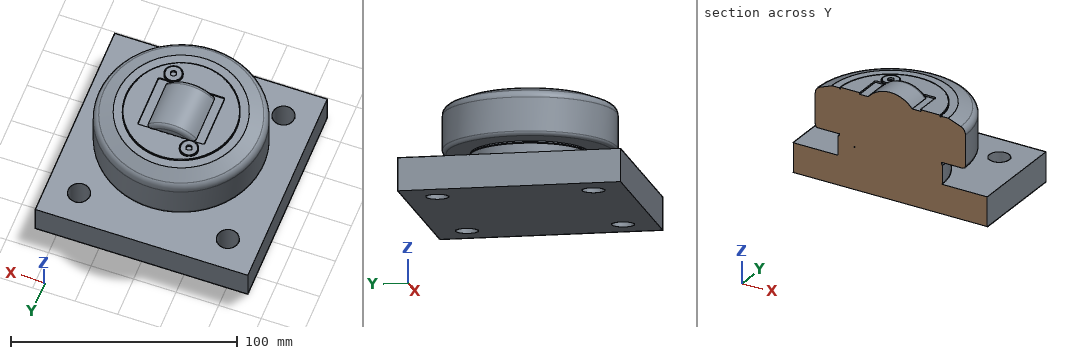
import cadquery as cq
import math

PLATE_SIDE = 100.0
PLATE_THICKNESS = 15.0
PLATE_HOLE_DIAMETER = 10.1
PLATE_HOLE_SPACING = 70.0

NECK_RADIUS = 27.0
NECK_TOP = 25.0
NECK_CHAMFER = 0.6
NECK_FOOT_CHAMFER = 0.3

ROLLER_RADIUS = 38.8
ROLLER_BOTTOM = 25.6
ROLLER_TOP = 48.7
ROLLER_LOWER_FILLET = 1.7
SHOULDER_START = 42.7
SHOULDER_FILLET = 3.8
CONE_ANGLE = math.radians(21.5)
FACE_RADIUS = 30.0

CAP_RADIUS = 25.7
CAP_TOP = 49.1
GROOVE_RADIUS = 26.0
GROOVE_DEPTH = 0.5

POCKET_LENGTH_X = 31.2
POCKET_LENGTH_Y = 26.4
POCKET_DEPTH = 0.8
POCKET_CORNER_RADIUS = 0.8
CROWN_TOP = 53.5
CROWN_RADIUS = 15.0
CROWN_LENGTH = 26.0
CROWN_FILLET = 1.9

SCREW_X = 10.1
SCREW_Y = 17.3
SCREW_HEAD_DIAMETER = 7.8
SCREW_HEAD_TOP = 49.5
SCREW_RECESS_DIAMETER = 8.6
SCREW_RECESS_DEPTH = 0.5
SCREW_SOCKET_DIAMETER = 2.8
SCREW_SOCKET_DEPTH = 1.0


def cylinder(radius, bottom, top, x=0.0, y=0.0):
    return cq.Workplane("XY", origin=(x, y, bottom)).circle(radius).extrude(top - bottom)


def make_plate():
    plate = cq.Workplane("XY").rect(PLATE_SIDE, PLATE_SIDE).extrude(PLATE_THICKNESS)
    holes = (
        cq.Workplane("XY")
        .rect(PLATE_HOLE_SPACING, PLATE_HOLE_SPACING, forConstruction=True)
        .vertices()
        .circle(PLATE_HOLE_DIAMETER / 2)
        .extrude(PLATE_THICKNESS)
    )
    return plate.cut(holes)


def make_neck():
    collar = cylinder(NECK_RADIUS, PLATE_THICKNESS, NECK_TOP).edges(">Z").chamfer(NECK_CHAMFER)
    collar = collar.edges("<Z").chamfer(NECK_FOOT_CHAMFER)
    core = cylinder(NECK_RADIUS - NECK_CHAMFER, PLATE_THICKNESS, ROLLER_BOTTOM)
    return collar.union(core)


def make_main_roller():
    fillet_center_x = ROLLER_RADIUS - SHOULDER_FILLET

    def shoulder_point(angle):
        return (
            fillet_center_x + SHOULDER_FILLET * math.cos(angle),
            SHOULDER_START + SHOULDER_FILLET * math.sin(angle),
        )

    end_angle = math.pi / 2 - CONE_ANGLE
    profile = (
        cq.Workplane("XZ")
        .moveTo(0, ROLLER_BOTTOM)
        .lineTo(ROLLER_RADIUS - ROLLER_LOWER_FILLET, ROLLER_BOTTOM)
        .radiusArc((ROLLER_RADIUS, ROLLER_BOTTOM + ROLLER_LOWER_FILLET), -ROLLER_LOWER_FILLET)
        .lineTo(ROLLER_RADIUS, SHOULDER_START)
        .threePointArc(shoulder_point(end_angle / 2), shoulder_point(end_angle))
        .lineTo(FACE_RADIUS, ROLLER_TOP)
        .lineTo(0, ROLLER_TOP)
        .close()
    )
    return profile.revolve(360, (0, 0, 0), (0, 1, 0))


def add_cap(body):
    groove_bottom = ROLLER_TOP - GROOVE_DEPTH
    body = body.cut(cylinder(GROOVE_RADIUS, groove_bottom, ROLLER_TOP))
    return body.union(cylinder(CAP_RADIUS, groove_bottom, CAP_TOP))


def cut_pocket(body):
    pocket = (
        cq.Workplane("XY", origin=(0, 0, CAP_TOP - POCKET_DEPTH))
        .rect(POCKET_LENGTH_X, POCKET_LENGTH_Y)
        .extrude(POCKET_DEPTH)
        .edges("|Z")
        .fillet(POCKET_CORNER_RADIUS)
    )
    return body.cut(pocket)


def add_screw(body, x, y):
    recess_bottom = CAP_TOP - SCREW_RECESS_DEPTH
    body = body.cut(cylinder(SCREW_RECESS_DIAMETER / 2, recess_bottom, CAP_TOP, x, y))
    body = body.union(cylinder(SCREW_HEAD_DIAMETER / 2, recess_bottom, SCREW_HEAD_TOP, x, y))
    socket_bottom = SCREW_HEAD_TOP - SCREW_SOCKET_DEPTH
    return body.cut(cylinder(SCREW_SOCKET_DIAMETER / 2, socket_bottom, SCREW_HEAD_TOP, x, y))


def make_side_roller():
    roller = (
        cq.Workplane("XZ", origin=(0, 0, CROWN_TOP - CROWN_RADIUS))
        .circle(CROWN_RADIUS)
        .extrude(CROWN_LENGTH / 2, both=True)
        .edges()
        .fillet(CROWN_FILLET)
    )
    floor = CAP_TOP - POCKET_DEPTH
    exposed_space = (
        cq.Workplane("XY", origin=(0, 0, floor))
        .rect(POCKET_LENGTH_X, POCKET_LENGTH_Y)
        .extrude(CROWN_TOP - floor)
    )
    return roller.intersect(exposed_space)


body = make_plate().union(make_neck()).union(make_main_roller())
body = cut_pocket(add_cap(body))
for side in (-1, 1):
    body = add_screw(body, side * SCREW_X, -side * SCREW_Y)
result = body.union(make_side_roller())